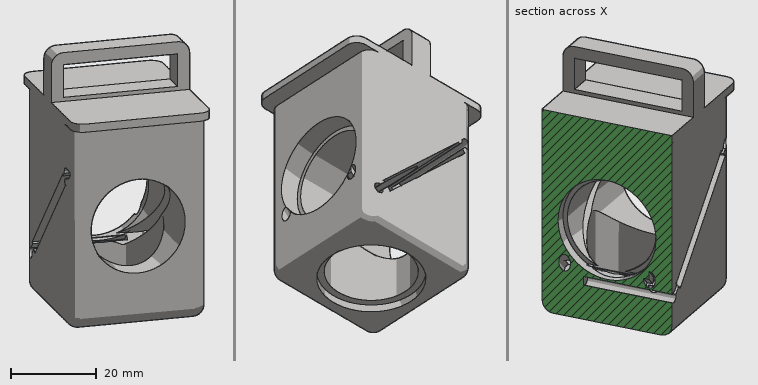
import cadquery as cq

body_side = 33.9
body_height = 50.0
edge_radius = 3.0

plate_length = 42.0
plate_thickness = 2.0
handle_width = 6.0
handle_height = 12.0
window_length = body_side - 2 * edge_radius
window_height = 8.0
window_lift = 1.0

bore_height = 24.3
bore_diameter = 23.0
seat_diameter = 25.3
seat_depth = 5.1

exit_diameter = 22.0
exit_seat_diameter = 25.5
exit_seat_depth = 2.0

slot_tilt = 45.0
slot_x = 1.0
slot_z = 24.1
slot_length = 34.1
slot_thickness = 3.0

groove_x = 0.45
groove_z = 24.05
groove_depth = 23.0
groove_span = 39.7
groove_width = 1.3
groove_end_diameter = 2.6

side_hole_diameter = 2.9
side_hole_y = 11.0
side_hole_z = 16.3
side_hole_depth = 8.0


def make_block(length, width, height, base_z):
    """Box centered on the Z axis, with its base at base_z."""
    base = cq.Workplane("XY").workplane(offset=base_z)
    return base.box(length, width, height, centered=(True, True, False))


def make_body():
    body = make_block(body_side, body_side, body_height, 0)
    body = body.edges("|Z").fillet(edge_radius)
    return body.faces("<Z").edges().fillet(edge_radius)


def make_lid():
    plate_top = body_height + plate_thickness
    plate = make_block(plate_length, body_side, plate_thickness, body_height)
    plate = plate.edges("|Z").fillet(edge_radius)
    handle = make_block(handle_width, body_side, handle_height, plate_top)
    handle = handle.edges("|X and >Z").fillet(edge_radius)
    window = make_block(handle_width, window_length, window_height, plate_top + window_lift)
    return plate.union(handle.cut(window))


def make_stepped_bore(start, diameter, length, step_diameter, step_depth):
    """Bore starting on a workplane, wider over its first stretch."""
    bore = start.circle(diameter / 2).extrude(length)
    step = start.circle(step_diameter / 2).extrude(step_depth)
    return bore.union(step)


def make_side_bore():
    start = cq.Workplane("YZ", origin=(-body_side / 2, 0, bore_height))
    return make_stepped_bore(start, bore_diameter, body_side, seat_diameter, seat_depth)


def make_exit_bore():
    start = cq.Workplane("XY")
    return make_stepped_bore(start, exit_diameter, bore_height, exit_seat_diameter, exit_seat_depth)


def tilt_and_place(shape, x, z):
    """Turn a shape lying along X to the slot angle and move it to (x, z)."""
    return shape.rotate((0, 0, 0), (0, 1, 0), -slot_tilt).translate((x, 0, z))


def make_slot():
    slot = cq.Workplane("XY").box(slot_length, body_side, slot_thickness)
    return tilt_and_place(slot, slot_x, slot_z)


def make_keyhole_grooves():
    front_face = cq.Workplane("XZ", origin=(0, -body_side / 2, 0))
    ends = [(-groove_span / 2, 0), (groove_span / 2, 0)]
    neck = front_face.rect(groove_span, groove_width).extrude(-groove_depth)
    rounds = front_face.pushPoints(ends).circle(groove_end_diameter / 2).extrude(-groove_depth)
    return tilt_and_place(neck.union(rounds), groove_x, groove_z)


def make_side_hole_start(y):
    """Workplane square to a tilted hole, set back so that the cutter clears the -X face.

    Its local X is +Y and its local Y points up along the slot direction.
    """
    plane = cq.Plane(origin=(-body_side / 2, y, side_hole_z), xDir=(0, 1, 0), normal=(1, 0, -1))
    return cq.Workplane(plane).workplane(offset=-side_hole_diameter)


def make_side_hole(y):
    length = side_hole_diameter + side_hole_depth
    return make_side_hole_start(y).circle(side_hole_diameter / 2).extrude(length)


def make_side_holes():
    """A full hole on the +Y side; on the -Y side the upper inner quarter stays solid."""
    length = side_hole_diameter + side_hole_depth
    quarter = (
        make_side_hole_start(-side_hole_y)
        .rect(side_hole_diameter, side_hole_diameter, centered=False)
        .extrude(length)
    )
    return make_side_hole(side_hole_y).union(make_side_hole(-side_hole_y).cut(quarter))


result = make_body().union(make_lid())
result = result.cut(make_side_bore())
result = result.cut(make_exit_bore())
result = result.cut(make_slot())
result = result.cut(make_keyhole_grooves())
result = result.cut(make_side_holes())